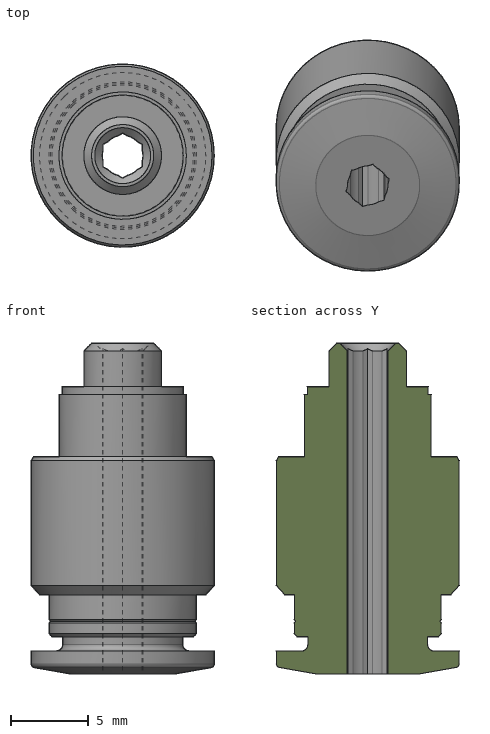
import math

import cadquery as cq

flange_top = 1.5
collar_bottom = 2.4
groove_centre = 3.4
body_bottom = 5.1
body_top = 14.0
shoulder_step = 18.0
shoulder_top = 18.5
overall_height = 21.3

body_diameter = 11.8
neck_diameter = 7.75
collar_diameter = 9.5
shoulder_diameter = 8.2
shoulder_rim_diameter = 7.8
post_diameter = 5.0

flange_edge_height = 0.45
flange_cone_angle = 10.0
flange_edge_radius = 0.25
neck_fillet_radius = 0.4

collar_chamfer = 0.2
groove_depth = 0.1
body_bottom_chamfer_width = 0.55
body_bottom_chamfer_height = 0.6
body_top_chamfer_width = 0.15
body_top_chamfer_height = 0.26
post_chamfer = 0.5

hex_across_flats = 2.5
pilot_diameter = 2.6
socket_mouth_diameter = 3.6


def make_outer_shape():
    """Revolve the half profile of the fitting about the Z axis."""
    body_radius = body_diameter / 2
    neck_radius = neck_diameter / 2
    collar_radius = collar_diameter / 2
    shoulder_radius = shoulder_diameter / 2
    rim_radius = shoulder_rim_diameter / 2
    post_radius = post_diameter / 2
    cone_angle = math.radians(flange_cone_angle)
    flange_bottom_radius = body_radius - flange_edge_height / math.tan(cone_angle)

    tangent_length = flange_edge_radius * math.tan(math.radians((90 - flange_cone_angle) / 2))
    round_start_radius = body_radius - tangent_length * math.cos(cone_angle)
    round_start_height = flange_edge_height - tangent_length * math.sin(cone_angle)
    round_end_height = flange_edge_height + tangent_length

    profile = (
        cq.Workplane("XZ")
        .moveTo(0, 0)
        .lineTo(flange_bottom_radius, 0)
        .lineTo(round_start_radius, round_start_height)
        .radiusArc((body_radius, round_end_height), -flange_edge_radius)
        .lineTo(body_radius, flange_top)
        .lineTo(neck_radius + neck_fillet_radius, flange_top)
        .radiusArc((neck_radius, flange_top + neck_fillet_radius), neck_fillet_radius)
        .lineTo(neck_radius, collar_bottom)
        .lineTo(collar_radius - collar_chamfer, collar_bottom)
        .lineTo(collar_radius, collar_bottom + collar_chamfer)
        .lineTo(collar_radius, groove_centre - groove_depth)
        .lineTo(collar_radius - groove_depth, groove_centre)
        .lineTo(collar_radius, groove_centre + groove_depth)
        .lineTo(collar_radius, body_bottom)
        .lineTo(body_radius - body_bottom_chamfer_width, body_bottom)
        .lineTo(body_radius, body_bottom + body_bottom_chamfer_height)
        .lineTo(body_radius, body_top - body_top_chamfer_height)
        .lineTo(body_radius - body_top_chamfer_width, body_top)
        .lineTo(shoulder_radius, body_top)
        .lineTo(shoulder_radius, shoulder_step)
        .lineTo(rim_radius, shoulder_step)
        .lineTo(rim_radius, shoulder_top)
        .lineTo(post_radius, shoulder_top)
        .lineTo(post_radius, overall_height - post_chamfer)
        .lineTo(post_radius - post_chamfer, overall_height)
        .lineTo(0, overall_height)
        .close()
    )
    return profile.revolve(360, (0, 0, 0), (0, 1, 0))


def make_socket():
    """Through hexagon with corners on the Y axis, its pilot bore and a 45 degree mouth."""
    hex_corner_diameter = hex_across_flats / math.cos(math.radians(30))
    mouth_radius = socket_mouth_diameter / 2
    hexagon = (
        cq.Workplane("XY")
        .transformed(rotate=(0, 0, 90))
        .polygon(6, hex_corner_diameter)
        .extrude(overall_height)
    )
    pilot = cq.Workplane("XY").circle(pilot_diameter / 2).extrude(overall_height)
    mouth = cq.Workplane(
        cq.Solid.makeCone(0, mouth_radius, mouth_radius, pnt=(0, 0, overall_height - mouth_radius))
    )
    return hexagon.union(pilot).union(mouth)


result = make_outer_shape().cut(make_socket())